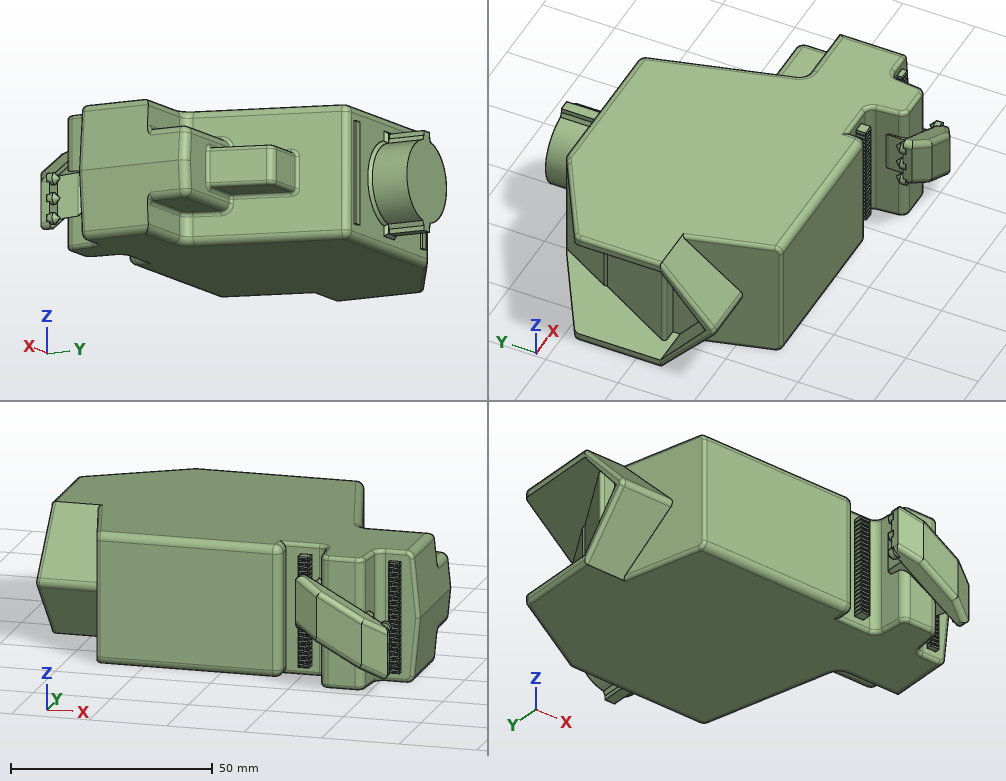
import cadquery as cq
import math

LENGTH = 100.4
HEIGHT = 34.0
HALF_HEIGHT = HEIGHT / 2
SIDE_SLOPE = math.tan(math.radians(15))

BACK_Y = 64.2
BEVEL_Y = 48.2
BEVEL_ANGLE = math.radians(30)
BEVEL_X = (BACK_Y - BEVEL_Y) / math.tan(BEVEL_ANGLE)
BACK_RIGHT_X = 69.3
SHOULDER_Y = 23.7
SHOULDER_X = BACK_RIGHT_X + (BACK_Y - SHOULDER_Y) * SIDE_SLOPE
NOSE_TOP_Y = 24.5
FRONT_LEFT_X = 18.5
NOSE_ROOT_X = FRONT_LEFT_X - NOSE_TOP_Y * SIDE_SLOPE
STEP_X = 66.0
STEP_Y = 4.7
END_TAPER = 1.7
WIDE_ROUND = 2.0
EDGE_ROUND = 1.0
SHOULDER_ROUND = 3.0
CORNER_ROUND = 2.2

TANG_TIP_Y = -5.2
TANG_LEFT_X = 76.6
TANG_RIGHT_X = 89.6
TANG_DRAFT = 1.0

HOOD_TIP_Y = 8.9
HOOD_INNER_Y = 40.2
HOOD_TIP_ROUND = 1.8
POCKET_HALF_HEIGHT = 14.6
POCKET_TIP_Y = 12.0
POCKET_BACK_X = 11.0
POCKET_LIP_Y = 26.5
POCKET_JOG_Y = 49.6
POCKET_JOG = 0.9
POCKET_LIP_ROUND = 0.8

LUG_Y = 35.1
LUG_HALF_HEIGHT = 9.0
UPPER_LUG_Y = 51.4
UPPER_LUG_X = 84.9
UPPER_LUG_HALF_HEIGHT = 5.0
FOOT_ROUND = 1.0

GLAND_X = 47.9
GLAND_RADIUS = 10.4
GLAND_END_Y = 74.8
KEY_WIDTH = 3.0
KEY_HALF_SPAN = 12.7
KEY_ROOT_WIDTH = 4.0
KEY_NECK_HALF_SPAN = 11.4
KEY_ROOT_HALF_SPAN = 10.2
COLLAR_HEIGHT = 0.9
COLLAR_FLARE = 0.7
BAR_HEIGHT = 0.6
BAR_WIDTH = 2.0
BAR_LENGTH = 26.1
BAR_OFFSET = 17.5

TOOTH_COUNT = 24
TOOTH_PITCH = 1.2
TOOTH_THICKNESS = 0.9
TOOTH_CHAMFER = 0.3
LEFT_RIB_X = 71.2
LEFT_RIB_HEIGHT = 2.9
RIGHT_RIB_X = 94.2
RIGHT_RIB_HEIGHT = 1.7
RIB_WIDTH = 2.8

LATCH_X = 83.9
LATCH_HALF_LENGTH = 11.7
LATCH_TWIST = 30.0
LATCH_BAND = 11.8
LATCH_TOP_Y = -6.4
LATCH_SIDE = 2.4
LATCH_BOTTOM_Y = -11.6
LATCH_BEVEL = 6.0
LATCH_TILT = 3.0
LATCH_ROUND = 1.4
STEM_LEFT_X = 76.1
STEM_TOP_RIGHT_X = 90.0
STEM_FOOT_RIGHT_X = 91.6
STEM_ROUND = 1.0
STEM_BAND = 9.5
STUDS_PER_END = 3
STUD_RADIUS = 1.5
STUD_RIM = 0.8
STUD_TIP = 1.5
STUD_OFFSET = 10.5
STUD_PITCH = 5.0


def plate(points, half_height):
    """Prism with an XY outline, centred on Z = 0."""
    return cq.Workplane("XY").polyline(points).close().extrude(half_height, both=True)


def round_corners(solid, corners, radius):
    """Round the upright edges that stand at the given XY corners."""
    near = 0.05
    for x, y in corners:
        corner = cq.selectors.BoxSelector(
            (x - near, y - near, -near), (x + near, y + near, near)
        )
        solid = solid.edges("|Z").edges(corner).fillet(radius)
    return solid


def taper_end(solid):
    """Bring the right end to a blunt ridge at Z = 0."""
    for sign in (-1, 1):
        wedge = (
            cq.Workplane("XZ")
            .polyline([
                (LENGTH, 0),
                (LENGTH - END_TAPER, sign * HALF_HEIGHT),
                (LENGTH + END_TAPER, sign * HALF_HEIGHT),
            ])
            .close()
            .extrude(BACK_Y, both=True)
        )
        solid = solid.cut(wedge)
    return solid


def make_housing():
    """Main body with its tang, before the hood and the lugs are added."""
    bevel_corner = (0, BEVEL_Y)
    back_right = (BACK_RIGHT_X, BACK_Y)
    shoulder = (SHOULDER_X, SHOULDER_Y)
    tang_root_right = (TANG_RIGHT_X, STEP_Y)
    tang_tip_right = (TANG_RIGHT_X - TANG_DRAFT, TANG_TIP_Y)
    tang_tip_left = (TANG_LEFT_X + TANG_DRAFT, TANG_TIP_Y)
    tang_root_left = (TANG_LEFT_X, STEP_Y)
    step_front = (STEP_X, 0)
    outline = [
        (0, NOSE_TOP_Y),
        bevel_corner,
        (BEVEL_X, BACK_Y),
        back_right,
        shoulder,
        (LENGTH, SHOULDER_Y),
        (LENGTH, STEP_Y),
        tang_root_right,
        tang_tip_right,
        tang_tip_left,
        tang_root_left,
        (STEP_X, STEP_Y),
        step_front,
        (FRONT_LEFT_X, 0),
        (NOSE_ROOT_X, NOSE_TOP_Y),
    ]
    body = plate(outline, HALF_HEIGHT)
    wide = [bevel_corner, back_right, step_front, tang_root_left, tang_root_right]
    body = round_corners(body, wide + [tang_tip_left, tang_tip_right], CORNER_ROUND)
    body = round_corners(body, [shoulder], SHOULDER_ROUND)
    body = taper_end(body)
    back_and_right = cq.selectors.BoxSelector(
        (BEVEL_X, SHOULDER_Y - WIDE_ROUND, -HEIGHT), (LENGTH, LENGTH, HEIGHT)
    ) + cq.selectors.BoxSelector(
        (LENGTH - WIDE_ROUND, STEP_Y + WIDE_ROUND, -HEIGHT), (LENGTH, SHOULDER_Y, HEIGHT)
    )
    front = cq.selectors.BoxSelector(
        (FRONT_LEFT_X, -EDGE_ROUND, -HEIGHT), (STEP_X - WIDE_ROUND, EDGE_ROUND, HEIGHT)
    )
    body = body.faces("<Z or >Z").edges(back_and_right).fillet(WIDE_ROUND)
    body = body.faces("<Z or >Z").edges(front).fillet(WIDE_ROUND)
    return body.faces("<Z or >Z").edges().fillet(EDGE_ROUND)


def make_lugs():
    """The two blocks that step down from the right wall."""
    left_x = BACK_RIGHT_X - WIDE_ROUND
    root_y = STEP_Y + WIDE_ROUND
    lower = plate(
        [(left_x, LUG_Y), (LENGTH, LUG_Y), (LENGTH, root_y), (left_x, root_y)],
        LUG_HALF_HEIGHT,
    )
    lower = taper_end(lower)
    lower = lower.faces(">Y").edges(">X").fillet(CORNER_ROUND)
    lower = lower.faces("<Z or >Z").edges(">Y").fillet(WIDE_ROUND)
    foot_x = UPPER_LUG_X + (UPPER_LUG_Y - SHOULDER_Y) * SIDE_SLOPE
    upper_corner = (UPPER_LUG_X, UPPER_LUG_Y)
    upper = plate(
        [(left_x, UPPER_LUG_Y), upper_corner, (foot_x, SHOULDER_Y), (left_x, SHOULDER_Y)],
        UPPER_LUG_HALF_HEIGHT,
    )
    upper = round_corners(upper, [upper_corner], CORNER_ROUND)
    upper = upper.faces("<Z or >Z").edges(">Y").fillet(EDGE_ROUND)
    return lower, upper


def right_wall_x(y):
    """X of the sloping right wall at a given Y."""
    return BACK_RIGHT_X + (BACK_Y - y) * SIDE_SLOPE


def join_lug(solid, lug, half_height, foot_points):
    """Add a lug and round the inside corners where its flat faces meet the walls."""
    joined = solid.union(lug)
    foot_edges = [
        joined.edges(cq.selectors.NearestToPointSelector((x, y, z))).val()
        for z in (half_height, -half_height)
        for x, y in foot_points
    ]
    return joined.newObject(foot_edges).fillet(FOOT_ROUND)


def make_hood():
    """V-shaped prism that hangs in front of the left end."""
    hood = (
        cq.Workplane("YZ")
        .polyline([
            (HOOD_INNER_Y, HALF_HEIGHT),
            (NOSE_TOP_Y, HALF_HEIGHT),
            (HOOD_TIP_Y, 0),
            (NOSE_TOP_Y, -HALF_HEIGHT),
            (HOOD_INNER_Y, -HALF_HEIGHT),
        ])
        .close()
        .extrude(FRONT_LEFT_X)
    )
    hood = hood.edges("|X and (<Y)").fillet(HOOD_TIP_ROUND)
    return hood.faces("<X").edges("not >Y").fillet(EDGE_ROUND)


def make_pocket():
    """Hollow under the hood, bounded by a wall that leans at 60 degrees."""
    wall_run = math.tan(BEVEL_ANGLE)
    jog_x = BEVEL_X - (BACK_Y - POCKET_JOG_Y) * wall_run
    jog_end_y = POCKET_JOG_Y - POCKET_JOG
    lip = (jog_x - (jog_end_y - POCKET_LIP_Y) * wall_run, POCKET_LIP_Y)
    plan = plate(
        [
            (BEVEL_X, BACK_Y),
            (jog_x, POCKET_JOG_Y),
            (jog_x, jog_end_y),
            lip,
            (POCKET_BACK_X, POCKET_LIP_Y),
            (POCKET_BACK_X, 0),
            (-LENGTH, 0),
            (-LENGTH, BACK_Y),
        ],
        HALF_HEIGHT,
    )
    plan = round_corners(plan, [lip], POCKET_LIP_ROUND)
    section = (
        cq.Workplane("YZ")
        .polyline([
            (BACK_Y, POCKET_HALF_HEIGHT),
            (NOSE_TOP_Y, POCKET_HALF_HEIGHT),
            (POCKET_TIP_Y, 0),
            (NOSE_TOP_Y, -POCKET_HALF_HEIGHT),
            (BACK_Y, -POCKET_HALF_HEIGHT),
        ])
        .close()
        .extrude(BACK_Y, both=True)
    )
    return plan.intersect(section)


def make_gland():
    """Round gland with a key on its top and bottom and a flared collar."""
    axis_plane = cq.Workplane("XZ", origin=(GLAND_X, GLAND_END_Y, 0))
    length = GLAND_END_Y - BACK_Y + WIDE_ROUND
    half_key = [
        (KEY_ROOT_WIDTH / 2, -KEY_ROOT_HALF_SPAN),
        (KEY_ROOT_WIDTH / 2, KEY_ROOT_HALF_SPAN),
        (KEY_WIDTH / 2, KEY_NECK_HALF_SPAN),
        (KEY_WIDTH / 2, KEY_HALF_SPAN),
        (-KEY_WIDTH / 2, KEY_HALF_SPAN),
        (-KEY_WIDTH / 2, KEY_NECK_HALF_SPAN),
    ]
    opposite_half = [(-x, -z) for x, z in half_key]
    gland = (
        axis_plane.circle(GLAND_RADIUS).extrude(length)
        .union(axis_plane.polyline(half_key + opposite_half).close().extrude(length))
    )
    collar_plane = cq.Workplane("XZ", origin=(GLAND_X, BACK_Y, 0))
    flare = math.degrees(math.atan(COLLAR_FLARE / COLLAR_HEIGHT))
    foot = collar_plane.circle(GLAND_RADIUS + COLLAR_FLARE).extrude(-COLLAR_HEIGHT, taper=flare)
    key_foot = collar_plane.rect(
        KEY_ROOT_WIDTH + 2 * COLLAR_FLARE, 2 * (KEY_HALF_SPAN + COLLAR_FLARE)
    ).extrude(-COLLAR_HEIGHT, taper=flare)
    return gland.union(foot).union(key_foot)


def make_back_bar(x):
    """Low upright bar on the back face."""
    return cq.Workplane("XY").box(BAR_WIDTH, 2 * BAR_HEIGHT, BAR_LENGTH).translate((x, BACK_Y, 0))


def make_rib(x, height):
    """Upright row of small chamfered teeth that point forward."""
    depth = height + EDGE_ROUND
    tooth = (
        cq.Workplane("XY")
        .box(RIB_WIDTH, depth, TOOTH_THICKNESS)
        .faces("<Y")
        .chamfer(TOOTH_CHAMFER)
        .translate((x, STEP_Y - height + depth / 2, 0))
    )
    middle = (TOOTH_COUNT - 1) / 2
    teeth = [
        tooth.val().translate(cq.Vector(0, 0, (index - middle) * TOOTH_PITCH))
        for index in range(TOOTH_COUNT)
    ]
    return cq.Workplane(cq.Compound.makeCompound(teeth))


def twisted_band(width):
    """Slab through the latch axis, turned about Y by the latch twist."""
    return (
        cq.Workplane("XY")
        .box(LENGTH, LENGTH, width)
        .rotate((0, 0, 0), (0, 1, 0), LATCH_TWIST)
        .translate((LATCH_X, 0, 0))
    )


def make_latch_bar():
    """Twisted bar with bevelled ends and rounded outer edges."""
    left_x = LATCH_X - LATCH_HALF_LENGTH
    right_x = LATCH_X + LATCH_HALF_LENGTH
    shoulder_y = LATCH_TOP_Y - LATCH_SIDE
    bar = plate(
        [
            (left_x, LATCH_TOP_Y),
            (right_x, LATCH_TOP_Y),
            (right_x, shoulder_y),
            (right_x - LATCH_BEVEL, LATCH_BOTTOM_Y),
            (left_x + LATCH_BEVEL, LATCH_BOTTOM_Y),
            (left_x, shoulder_y),
        ],
        HALF_HEIGHT,
    )
    bar = bar.intersect(twisted_band(LATCH_BAND))
    return bar.edges("not >Y").edges("not |Z").fillet(LATCH_ROUND)


def make_stud(x, z):
    """Short round stud with a pointed end."""
    return (
        cq.Workplane("XY")
        .moveTo(0, -STUD_RIM)
        .lineTo(STUD_RADIUS, -STUD_RIM)
        .lineTo(STUD_RADIUS, STUD_RIM)
        .lineTo(0, STUD_RIM + STUD_TIP)
        .close()
        .revolve(360, (0, 0, 0), (0, 1, 0))
        .translate((x, LATCH_TOP_Y, z))
    )


def make_latch():
    """Latch bar with its studs, tilted slightly, on the stem that holds it."""
    latch = make_latch_bar()
    for side in (-1, 1):
        for index in range(STUDS_PER_END):
            stud = make_stud(LATCH_X + side * STUD_OFFSET, -side * index * STUD_PITCH)
            latch = latch.union(stud)
    latch = latch.rotate((LATCH_X, LATCH_TOP_Y, 0), (LATCH_X, LATCH_TOP_Y, 1), LATCH_TILT)
    stem_end_y = LATCH_TOP_Y - STEM_ROUND - (LATCH_ROUND - STEM_ROUND)
    stem = plate(
        [
            (STEM_LEFT_X, 0),
            (STEM_TOP_RIGHT_X, 0),
            (STEM_FOOT_RIGHT_X, stem_end_y),
            (STEM_LEFT_X, stem_end_y),
        ],
        HALF_HEIGHT,
    )
    stem = stem.intersect(twisted_band(STEM_BAND)).faces(">Y").edges().fillet(STEM_ROUND)
    return latch.union(stem)


lower_lug, upper_lug = make_lugs()
lower_foot_y = (LUG_Y + SHOULDER_Y) / 2
upper_foot_y = (UPPER_LUG_Y + LUG_Y) / 2
lower_foot = [(right_wall_x(lower_foot_y), lower_foot_y)]
upper_foot = [(right_wall_x(upper_foot_y), upper_foot_y), (UPPER_LUG_X, LUG_Y)]

result = make_housing().union(make_hood())
result = join_lug(result, lower_lug, LUG_HALF_HEIGHT, lower_foot)
result = join_lug(result, upper_lug, UPPER_LUG_HALF_HEIGHT, upper_foot)
result = result.cut(make_pocket())
result = result.union(make_gland())
for side in (-1, 1):
    result = result.union(make_back_bar(GLAND_X + side * BAR_OFFSET))
result = result.union(make_rib(LEFT_RIB_X, LEFT_RIB_HEIGHT))
result = result.union(make_rib(RIGHT_RIB_X, RIGHT_RIB_HEIGHT))
result = result.union(make_latch())